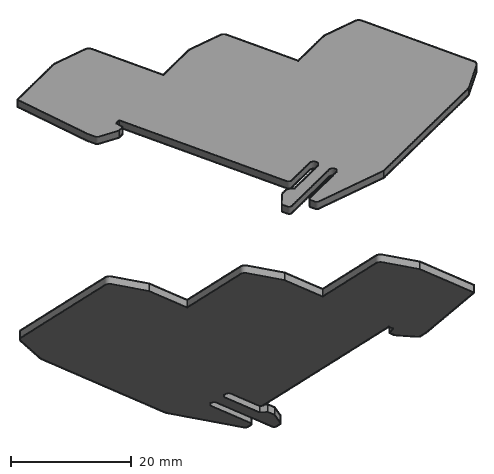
import cadquery as cq
import math

LENGTH = 62.0
HEIGHT = 50.5
THICKNESS = 1.5

STEP_COUNT = 3
STEP_RUN = 17.0
STEP_RISE = 15.0
LEAN_HEIGHT = 6.8
LEAN_ANGLE = 20.0
STEP_RADIUS = 0.9

RAIL_EDGE_Y = 5.95
LEFT_CORNER_Y = 2.05
LEFT_FLAT_START_X = 14.8
LEFT_HOOK_TIP_X = 16.7
LEFT_BARB_X = 18.85
LEFT_BARB_LOW_Y = 3.5
LEFT_BARB_HIGH_Y = 4.65
LEFT_NOTCH_X = 17.35
LEFT_NOTCH_Y = 5.0

INNER_SLOT_X = 50.4
ARM_LEFT_X = 51.95
ARM_RIGHT_X = 54.1
FOOT_LEFT_X = 55.5
SLOT_TOP_Y = 13.1
ARM_NECK_Y = 4.95
ARM_BARB_X = 50.95
ARM_BARB_HIGH_Y = 4.1
ARM_BARB_LOW_Y = 2.6
ARM_TIP_X = 52.45

FOOT_BOTTOM_Y = 3.55
FOOT_SLOPE_TOP_Y = 16.8

TIP_RADIUS = 0.5
RAIL_CORNER_RADIUS = 0.55

lean_run = LEAN_HEIGHT * math.tan(math.radians(LEAN_ANGLE))
foot_run = (FOOT_SLOPE_TOP_Y - FOOT_BOTTOM_Y) * math.tan(math.radians(LEAN_ANGLE))
foot_right_x = LENGTH - foot_run


def step_top(step):
    """Y of the top edge of a step, counted from the lowest one."""
    return HEIGHT - (STEP_COUNT - 1 - step) * STEP_RISE


def add_slot_end(sketch, left_x, right_x):
    """Climb the left wall of a slot and cross its round end."""
    radius = (right_x - left_x) / 2
    spring_y = SLOT_TOP_Y - radius
    sketch = sketch.lineTo(left_x, spring_y)
    return sketch.threePointArc((left_x + radius, SLOT_TOP_Y), (right_x, spring_y))


def make_plate():
    outline = (
        cq.Workplane("XY")
        .moveTo(0, LEFT_CORNER_Y)
        .lineTo(LEFT_FLAT_START_X, 0)
        .lineTo(LEFT_HOOK_TIP_X, 0)
        .lineTo(LEFT_BARB_X, LEFT_BARB_LOW_Y)
        .lineTo(LEFT_BARB_X, LEFT_BARB_HIGH_Y)
        .lineTo(LEFT_NOTCH_X, LEFT_NOTCH_Y)
        .lineTo(LEFT_NOTCH_X, RAIL_EDGE_Y)
        .lineTo(INNER_SLOT_X, RAIL_EDGE_Y)
    )

    outline = add_slot_end(outline, INNER_SLOT_X, ARM_LEFT_X)
    outline = (
        outline.lineTo(ARM_LEFT_X, ARM_NECK_Y)
        .lineTo(ARM_BARB_X, ARM_BARB_HIGH_Y)
        .lineTo(ARM_BARB_X, ARM_BARB_LOW_Y)
        .lineTo(ARM_TIP_X, 0)
        .lineTo(ARM_RIGHT_X, 0)
    )
    outline = add_slot_end(outline, ARM_RIGHT_X, FOOT_LEFT_X)

    outline = (
        outline.lineTo(FOOT_LEFT_X, FOOT_BOTTOM_Y)
        .lineTo(foot_right_x, FOOT_BOTTOM_Y)
        .lineTo(LENGTH, FOOT_SLOPE_TOP_Y)
        .lineTo(LENGTH, HEIGHT - LEAN_HEIGHT)
        .lineTo(LENGTH - lean_run, HEIGHT)
    )

    for step in reversed(range(STEP_COUNT)):
        left_x = step * STEP_RUN
        top_y = step_top(step)
        outline = outline.lineTo(left_x + lean_run, top_y).lineTo(left_x, top_y - LEAN_HEIGHT)
        if step > 0:
            outline = outline.lineTo(left_x, step_top(step - 1))

    return outline.close().extrude(THICKNESS)


def round_corners(plate, corners, radius):
    """Fillet the upright edges that pass through the given XY corners."""
    edges = []
    for x, y in corners:
        nearest = cq.selectors.NearestToPointSelector((x, y, THICKNESS / 2))
        edges += plate.edges("|Z").edges(nearest).vals()
    return plate.newObject(edges).fillet(radius)


step_corners = [(step * STEP_RUN + lean_run, step_top(step)) for step in range(STEP_COUNT)]
step_corners.append((LENGTH - lean_run, HEIGHT))
tip_corners = [
    (LEFT_HOOK_TIP_X, 0),
    (ARM_TIP_X, 0),
    (ARM_RIGHT_X, 0),
    (FOOT_LEFT_X, FOOT_BOTTOM_Y),
    (foot_right_x, FOOT_BOTTOM_Y),
]

result = make_plate()
result = round_corners(result, step_corners, STEP_RADIUS)
result = round_corners(result, tip_corners, TIP_RADIUS)
result = round_corners(result, [(INNER_SLOT_X, RAIL_EDGE_Y)], RAIL_CORNER_RADIUS)